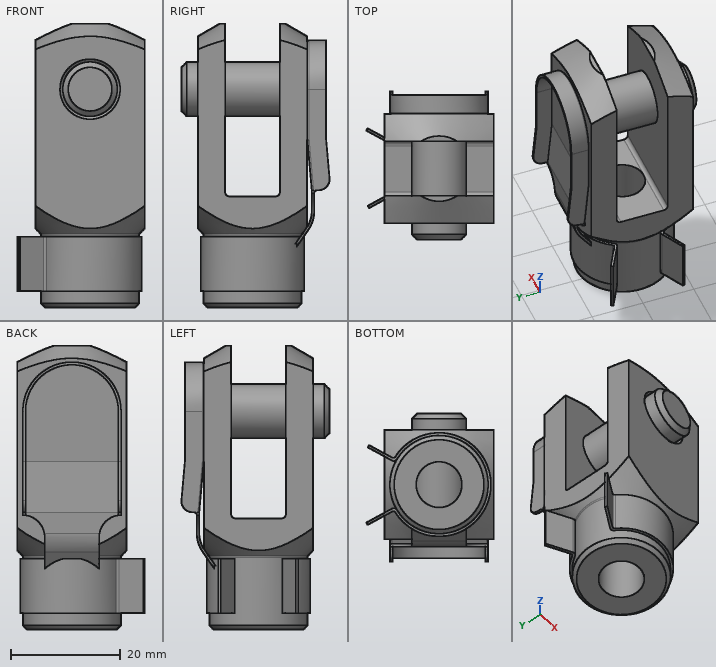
import cadquery as cq
import math

height = 52.0
fork_side = 20.0
half_side = fork_side / 2
slot_width = 10.0
slot_floor_z = 20.4
slot_corner_radius = 0.8
bore_diameter = 8.35

neck_diameter = 18.0
neck_radius = neck_diameter / 2
neck_end_chamfer = 0.8
shoulder_z = 13.45
shoulder_fillet = 0.4

crown_flat_radius = 6.0
crown_angle = 30.0
turning_clearance = 0.5
turning_radius = half_side * math.sqrt(2) + turning_clearance

pin_diameter = 10.0
pin_z = 40.0
pin_projection = 3.0
pin_chamfer = 1.0
pin_hole_chamfer = 0.5

sheet = 0.5
cup_width = 18.0
cup_depth = 3.5
cup_edge_radius = 0.3
cup_bottom_z = 21.5
cup_corner_radius = 2.05
bend_z = 30.85
bend_angle = 5.0
bend_run = (bend_z - cup_bottom_z) * math.tan(math.radians(bend_angle))

tongue_width = 10.0
tongue_root_height = 0.5
tongue_root_fillet = 0.45
tongue_curve_z = 17.7
tongue_curve_radius = 6.0
tongue_angle = 35.0
tongue_end_z = 9.35

collar_bottom_z = 3.0
collar_height = 10.0
collar_radius = neck_radius + sheet
ear_angle = 28.5
ear_tip_radius_back = 15.05
ear_tip_radius_front = 14.7
ear_inside_fillet = 0.4
ear_outside_fillet = 0.7


def turned_envelope():
    """Body of revolution that gives the fork its crown, lower cone and neck."""
    crown_drop = (turning_radius - crown_flat_radius) * math.tan(math.radians(crown_angle))
    cone_top_z = shoulder_z + turning_radius - neck_radius
    return (
        cq.Workplane("XZ")
        .moveTo(0, 0)
        .lineTo(neck_radius - neck_end_chamfer, 0)
        .lineTo(neck_radius, neck_end_chamfer)
        .lineTo(neck_radius, shoulder_z)
        .lineTo(turning_radius, cone_top_z)
        .lineTo(turning_radius, height - crown_drop)
        .lineTo(crown_flat_radius, height)
        .lineTo(0, height)
        .close()
        .revolve(360, (0, 0, 0), (0, 1, 0))
        .edges(cq.NearestToPointSelector((0, 0, shoulder_z)))
        .fillet(shoulder_fillet)
    )


def make_fork():
    """Square fork with round neck, slot, axial bore and chamfered pin hole."""
    bar = cq.Workplane("XY").box(fork_side, fork_side, height, centered=(True, True, False))
    slot = (
        cq.Workplane("XY", origin=(0, 0, slot_floor_z))
        .box(fork_side, slot_width, height, centered=(True, True, False))
        .edges("|X and <Z")
        .fillet(slot_corner_radius)
    )
    bore = cq.Workplane("XY").circle(bore_diameter / 2).extrude(slot_floor_z + slot_corner_radius)
    pin_hole = (
        cq.Workplane("XZ", origin=(0, 0, pin_z))
        .circle(pin_diameter / 2)
        .extrude(half_side, both=True)
    )
    fork = bar.intersect(turned_envelope()).cut(slot).cut(bore).cut(pin_hole)
    for side in (-1, 1):
        countersink = cq.Solid.makeCone(
            pin_diameter / 2 + pin_hole_chamfer,
            pin_diameter / 2,
            pin_hole_chamfer,
            cq.Vector(0, side * half_side, pin_z),
            cq.Vector(0, -side, 0),
        )
        fork = fork.cut(cq.Workplane(countersink))
    return fork


def cup_outline(width):
    """Block behind the fork with a half-round top, concentric with the pin."""
    half_width = width / 2
    return (
        cq.Workplane("XZ", origin=(0, half_side, 0))
        .moveTo(-half_width, cup_bottom_z)
        .lineTo(half_width, cup_bottom_z)
        .lineTo(half_width, pin_z)
        .threePointArc((0, pin_z + half_width), (-half_width, pin_z))
        .close()
        .extrude(-2 * cup_depth)
    )


def cup_side_profile(front_y, back_y):
    """Slab between two surfaces that both bend away from the fork below bend_z."""
    return (
        cq.Workplane("YZ", origin=(-cup_width / 2, 0, 0))
        .moveTo(front_y, height)
        .lineTo(front_y, bend_z)
        .lineTo(front_y + bend_run, cup_bottom_z)
        .lineTo(back_y + bend_run, cup_bottom_z)
        .lineTo(back_y, bend_z)
        .lineTo(back_y, height)
        .close()
        .extrude(cup_width)
    )


def make_cup():
    """Sheet cup with a base against the fork, open at the back and at the bottom."""
    rim_y = half_side + cup_depth
    lower_corner = (0, rim_y + bend_run, cup_bottom_z)
    side_profile = (
        cup_side_profile(half_side, rim_y)
        .edges(cq.NearestToPointSelector(lower_corner))
        .fillet(cup_corner_radius)
    )
    outside = side_profile.intersect(cup_outline(cup_width))
    outside = outside.faces("<Y").edges("not |X").fillet(cup_edge_radius)
    cavity = cup_side_profile(half_side + sheet, rim_y + cup_depth).intersect(
        cup_outline(cup_width - 2 * sheet)
    )
    return outside.cut(cavity)


def tongue_outline():
    """Tongue outline seen along Y: quarter rounds lead from the cup width to the tongue width."""
    half_root = cup_width / 2
    half_tongue = tongue_width / 2
    root_z = cup_bottom_z - tongue_root_height
    round_radius = half_root - half_tongue
    round_end_z = root_z - round_radius
    round_mid_x = half_root - round_radius * math.sqrt(0.5)
    round_mid_z = round_end_z + round_radius * math.sqrt(0.5)
    return (
        cq.Workplane("XZ")
        .moveTo(half_root, cup_bottom_z)
        .lineTo(half_root, root_z)
        .threePointArc((round_mid_x, round_mid_z), (half_tongue, round_end_z))
        .lineTo(half_tongue, tongue_end_z)
        .lineTo(-half_tongue, tongue_end_z)
        .lineTo(-half_tongue, round_end_z)
        .threePointArc((-round_mid_x, round_mid_z), (-half_root, root_z))
        .lineTo(-half_root, cup_bottom_z)
        .close()
        .extrude(-fork_side)
    )


def make_tongue():
    """Curved strip from the full-width cup base, narrowing down to the collar."""
    front_y = half_side + bend_run
    back_y = front_y + sheet
    curve_center_y = back_y - tongue_curve_radius
    tail_slope = math.tan(math.radians(tongue_angle))

    def on_curve(radius, angle):
        """Point (y, z) of the bend, angle degrees down from its start."""
        turn = math.radians(angle)
        return (curve_center_y + radius * math.cos(turn), tongue_curve_z - radius * math.sin(turn))

    def at_end(radius):
        """Lower end (y, z) of the straight tail that leaves the bend."""
        y, z = on_curve(radius, tongue_angle)
        return (y - (z - tongue_end_z) * tail_slope, tongue_end_z)

    inner_radius = tongue_curve_radius - sheet
    strip = (
        cq.Workplane("YZ", origin=(-cup_width / 2, 0, 0))
        .moveTo(back_y, cup_bottom_z)
        .lineTo(back_y, tongue_curve_z)
        .threePointArc(
            on_curve(tongue_curve_radius, tongue_angle / 2),
            on_curve(tongue_curve_radius, tongue_angle),
        )
        .lineTo(*at_end(tongue_curve_radius))
        .lineTo(*at_end(inner_radius))
        .lineTo(*on_curve(inner_radius, tongue_angle))
        .threePointArc(on_curve(inner_radius, tongue_angle / 2), (front_y, tongue_curve_z))
        .lineTo(front_y, cup_bottom_z)
        .close()
        .extrude(cup_width)
    )
    return strip.intersect(tongue_outline())


def make_collar():
    """Split ring with a radial ear on each side of the gap at -X."""
    base = cq.Workplane("XY", origin=(0, 0, collar_bottom_z))
    gap_reach = 2 * neck_radius
    gap_half_width = gap_reach * math.tan(math.radians(ear_angle))
    gap = (
        base.polyline([(0, 0), (-gap_reach, gap_half_width), (-gap_reach, -gap_half_width)])
        .close()
        .extrude(collar_height)
    )
    collar = base.circle(collar_radius).circle(neck_radius).extrude(collar_height).cut(gap)

    for side, tip_radius in ((1, ear_tip_radius_back), (-1, ear_tip_radius_front)):
        direction = 180 - side * ear_angle
        ear = (
            base.center((neck_radius + tip_radius) / 2, 0)
            .rect(tip_radius - neck_radius, sheet)
            .extrude(collar_height)
            .rotate((0, 0, 0), (0, 0, 1), direction)
        )
        collar = collar.union(ear)

    middle_z = collar_bottom_z + collar_height / 2
    for side in (1, -1):
        direction = math.radians(180 - side * ear_angle)
        for radius, offset, fillet in (
            (collar_radius, -side * sheet / 2, ear_inside_fillet),
            (neck_radius, side * sheet / 2, ear_outside_fillet),
        ):
            corner = (
                radius * math.cos(direction) - offset * math.sin(direction),
                radius * math.sin(direction) + offset * math.cos(direction),
                middle_z,
            )
            collar = collar.edges("|Z").edges(cq.NearestToPointSelector(corner)).fillet(fillet)
    return collar


def make_pin():
    """Cross pin from the clip base to its chamfered end in front of the fork."""
    pin_length = fork_side + pin_projection
    return (
        cq.Workplane("XZ", origin=(0, half_side, pin_z))
        .circle(pin_diameter / 2)
        .extrude(pin_length)
        .faces("<Y")
        .chamfer(pin_chamfer)
    )


def make_clip(fork):
    """Spring clip: cup, tongue, collar and pin as one body; the tongue rests against the fork."""
    clip = make_cup().union(make_tongue().cut(fork))
    wall_middle_x = (cup_width - sheet) / 2
    for side in (-1, 1):
        root_edge = (side * wall_middle_x, half_side + bend_run + sheet, cup_bottom_z)
        clip = clip.edges("|X").edges(cq.NearestToPointSelector(root_edge)).fillet(tongue_root_fillet)
    return clip.union(make_collar()).union(make_pin())


fork = make_fork()
clip = make_clip(fork)
result = cq.Compound.makeCompound([fork.solids().val(), clip.solids().val()])